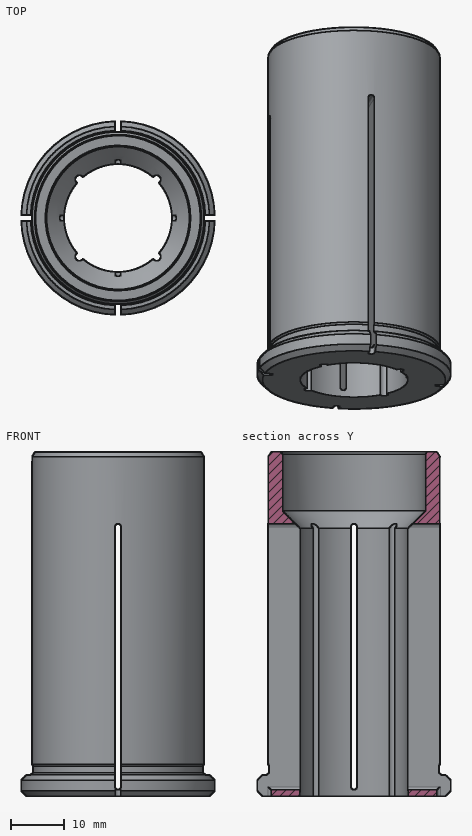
import cadquery as cq

total_height = 64.0
body_radius = 16.0

flange_radius = 18.0
flange_height = 4.0
flange_chamfer = 1.0

neck_depth = 0.2
neck_radius = body_radius - neck_depth
neck_bottom = 4.4
neck_foot_radius = 16.25
neck_top = 5.6
neck_end = 6.0

lead_in_depth = 0.5
lead_in_length = 0.9
rim_break_depth = 0.2
rim_break_length = 0.1

bore_radius = 10.0
upper_bore_radius = 26.5 / 2
cone_top = 53.0
cone_bottom = cone_top - (upper_bore_radius - bore_radius)
mouth_chamfer_depth = 0.25
mouth_chamfer_length = 0.5

slot_count = 4
slot_width = 1.1
slot_bottom = 1.25
slot_top = 50.6
relief_end_center = body_radius
cutter_radius = flange_radius + 1.0

channel_diameter = 1.5
channel_center_radius = 10.15


def make_sleeve():
    """Turned body: outer contour upward, then the bore contour downward."""
    lead_in_radius = body_radius - lead_in_depth
    rim_radius = lead_in_radius - rim_break_depth
    rim_break_start = total_height - rim_break_length
    outline = [
        (bore_radius, 0),
        (flange_radius - flange_chamfer, 0),
        (flange_radius, flange_chamfer),
        (flange_radius, flange_height - flange_chamfer),
        (flange_radius - flange_chamfer, flange_height),
        (neck_foot_radius, flange_height),
        (neck_radius, neck_bottom),
        (neck_radius, neck_top),
        (body_radius, neck_end),
        (body_radius, total_height - lead_in_length),
        (lead_in_radius, rim_break_start),
        (rim_radius, total_height),
        (upper_bore_radius + mouth_chamfer_depth, total_height),
        (upper_bore_radius, total_height - mouth_chamfer_length),
        (upper_bore_radius, cone_top),
        (bore_radius, cone_bottom),
    ]
    return cq.Workplane("XZ").polyline(outline).close().revolve(360, (0, 0), (0, 1))


def make_slot():
    """Round-ended slot through the wall on +X, from the axis outward."""
    return (
        cq.Workplane("YZ")
        .center(0, (slot_bottom + slot_top) / 2)
        .slot2D(slot_top - slot_bottom, slot_width, 90)
        .extrude(cutter_radius)
    )


def make_flange_relief():
    """Round-ended notch on +X that carries the slot down through the flange."""
    length = cutter_radius - relief_end_center
    channel = cq.Workplane("XY").center(relief_end_center + length / 2, 0).rect(length, slot_width)
    round_end = cq.Workplane("XY").center(relief_end_center, 0).circle(slot_width / 2)
    return channel.extrude(flange_height).union(round_end.extrude(flange_height))


def make_channel():
    """Round channel along the bore on +X, running out into the cone."""
    return (
        cq.Workplane("XY")
        .center(channel_center_radius, 0)
        .circle(channel_diameter / 2)
        .extrude(cone_top)
    )


result = make_sleeve()
slot_pitch = 360 / slot_count
for index in range(slot_count):
    slot_angle = index * slot_pitch
    channel_angle = slot_angle + slot_pitch / 2
    for cutter, angle in (
        (make_slot(), slot_angle),
        (make_flange_relief(), slot_angle),
        (make_channel(), channel_angle),
    ):
        result = result.cut(cutter.rotate((0, 0, 0), (0, 0, 1), angle))